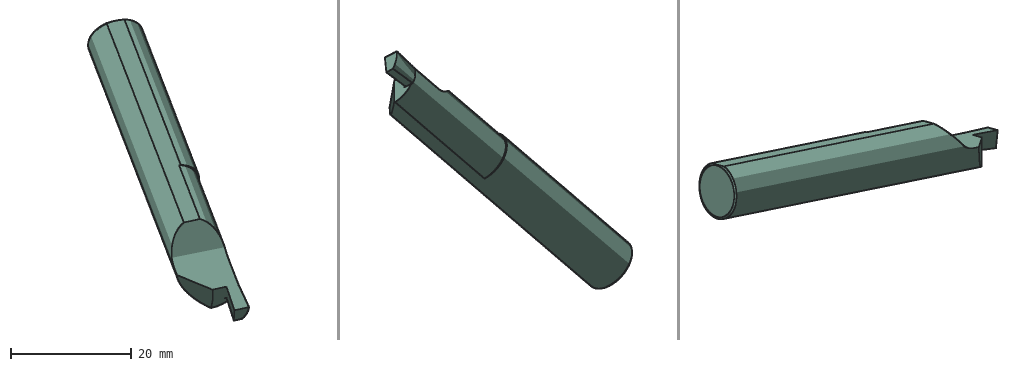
import cadquery as cq
import math

length = 63.5
diameter = 9.5
radius = diameter / 2
flat_depth = 0.25
flat_z = radius - flat_depth
back_chamfer_length = 0.2
back_chamfer_depth = 0.4

relief_start = 33.85
relief_shift = 0.285

rake_z = 0.0
ramp_start = 46.3
ramp_angle = 45.0
ramp_radius = 3.0

shoulder_x = 58.1
shoulder_y = 0.0
head_angle = 45.0
blade_root_y = 2.4
blade_tip_y = 2.2
blade_corner_radius = 0.25

blade_root_z = -2.8
blade_tip_z = -3.05
tip_clearance = 0.4
shoulder_clearance = 0.2

reach = diameter


def make_bar():
    """Full-length round bar with a coned back edge and a flat on top."""
    bar = (
        cq.Workplane("XY")
        .moveTo(0, 0)
        .lineTo(0, radius - back_chamfer_depth)
        .lineTo(back_chamfer_length, radius)
        .lineTo(length, radius)
        .lineTo(length, 0)
        .close()
        .revolve(360, (0, 0, 0), (1, 0, 0))
    )
    above_flat = (
        cq.Workplane("XY")
        .workplane(offset=flat_z)
        .rect(2 * length, 2 * reach)
        .extrude(reach)
    )
    return bar.cut(above_flat)


def make_side_relief():
    """Crescent removed from the +Y side between the relief start and the shoulder."""
    start_plane = cq.Workplane("YZ").workplane(offset=relief_start)
    relief_length = shoulder_x - relief_start
    surround = start_plane.center(reach / 2, 0).rect(reach, 2 * reach).extrude(relief_length)
    kept = start_plane.center(-relief_shift, 0).circle(radius).extrude(relief_length)
    return surround.cut(kept)


def make_side_envelope():
    """Front outline: shank, blended ramp, rake face, and cleared end faces."""
    ramp_foot = ramp_start + (flat_z - rake_z) / math.tan(math.radians(ramp_angle))
    ramp_top = ramp_foot - (reach - rake_z) / math.tan(math.radians(ramp_angle))
    shoulder_slope = shoulder_clearance / (radius + blade_root_z)
    shoulder_foot = shoulder_x - shoulder_slope * (reach + blade_root_z)
    envelope = (
        cq.Workplane("XZ")
        .moveTo(0, -reach)
        .lineTo(0, reach)
        .lineTo(ramp_top, reach)
        .lineTo(ramp_foot, rake_z)
        .lineTo(length, rake_z)
        .lineTo(length - tip_clearance, blade_tip_z)
        .lineTo(shoulder_x, blade_root_z)
        .lineTo(shoulder_foot, -reach)
        .close()
        .extrude(reach, both=True)
    )
    ramp_edge = cq.selectors.NearestToPointSelector((ramp_foot, 0, rake_z))
    return envelope.edges(ramp_edge).fillet(ramp_radius)


def make_plan_envelope():
    """Top outline: shank, slanted head, shoulder, and a blade that widens to its tip."""
    head_start = shoulder_x - (shoulder_y + reach) / math.tan(math.radians(head_angle))
    envelope = (
        cq.Workplane("XY")
        .moveTo(0, -reach)
        .lineTo(head_start, -reach)
        .lineTo(shoulder_x, shoulder_y)
        .lineTo(shoulder_x, blade_root_y)
        .lineTo(length, blade_tip_y)
        .lineTo(length, radius)
        .lineTo(shoulder_x, radius - relief_shift)
        .lineTo(shoulder_x, reach)
        .lineTo(0, reach)
        .close()
        .extrude(reach, both=True)
    )
    blade_corner = cq.selectors.NearestToPointSelector((shoulder_x, blade_root_y, 0))
    return envelope.edges(blade_corner).fillet(blade_corner_radius)


relieved_bar = make_bar().cut(make_side_relief())
result = relieved_bar.intersect(make_side_envelope()).intersect(make_plan_envelope())